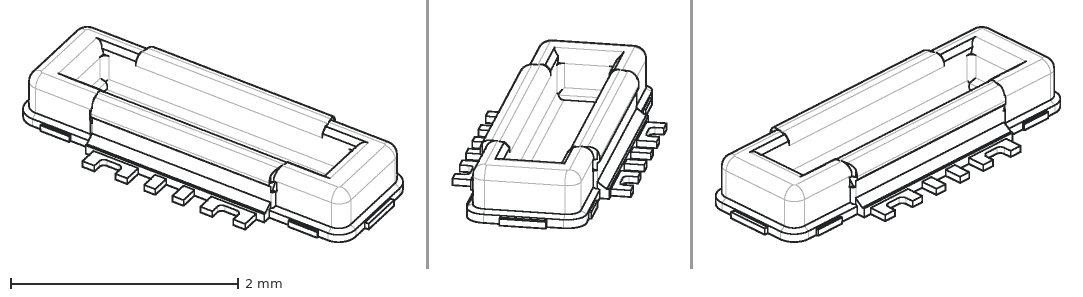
import cadquery as cq
import math

height = 0.49
tab_height = 0.065

flange_half_length = 1.725
flange_half_width = 0.535
flange_corner_radius = 0.175
flange_edge_height = 0.08
flange_top_height = 0.113

housing_half_length = 1.673
housing_half_width = 0.485
flange_ledge = flange_half_length - housing_half_length
housing_corner_radius = flange_corner_radius - flange_ledge
top_round = 0.105
round_bottom = height - top_round

middle_half_length = 0.935
middle_half_width = 0.515
lip_half_width = 0.535
lip_bottom = 0.35
lip_chamfer = lip_half_width - middle_half_width
skirt_half_width = 0.62
skirt_height = 0.092
skirt_slope_end = 0.6
skirt_slope_top = 0.155
wall_blend_radius = middle_half_width - housing_half_width
blend_half_length = middle_half_length + wall_blend_radius
top_blend_radius = 0.353

notch_outer_x = 0.978
notch_bottom = 0.27
notch_top = 0.367
notch_apex_height = 0.345
notch_depth = 0.055

cavity_half_length = 1.315
cavity_half_width = 0.26
cavity_corner_radius = 0.055
floor_height = 0.067
floor_side_round = 0.065
floor_end_round = 0.075
floor_end_arc = math.radians(55)
floor_end_slope_length = 0.042
rim_end_round = 0.105
rim_side_chamfer = 0.05
contact_half_length = 0.978
contact_rim_round = 0.095

end_tab_half_length = 1.765
end_tab_half_width = 0.21
side_tab_center = 1.3
side_tab_length = 0.305
side_tab_half_width = 0.558

lead_span = 1.6
lead_half_span = lead_span / 2
narrow_lead_center = 0.15
narrow_lead_width = 0.115
forked_lead_center = 0.618
forked_lead_width = 0.47
fork_notch_width = 0.22
fork_notch_depth = 0.127
fork_notch_radius = 0.045


def centered_box(half_x, half_y, z_top):
    """Box centred in X and Y that rises from the base plane to z_top."""
    return cq.Workplane("XY").box(2 * half_x, 2 * half_y, z_top, centered=(True, True, False))


def make_flange():
    flange = centered_box(flange_half_length, flange_half_width, flange_top_height)
    flange = flange.edges("|Z").fillet(flange_corner_radius)
    slope_height = flange_top_height - flange_edge_height
    return flange.faces(">Z").chamfer(slope_height, flange_ledge)


def make_housing():
    housing = centered_box(housing_half_length, housing_half_width, height)
    housing = housing.edges("|Z").fillet(housing_corner_radius)
    return housing.faces(">Z").edges().fillet(top_round)


def make_middle(half_length):
    """Rounded lip, plain wall and sloped skirt, the same on both long sides."""
    half = (
        cq.Workplane("YZ")
        .lineTo(skirt_half_width, 0)
        .lineTo(skirt_half_width, skirt_height)
        .lineTo(skirt_slope_end, skirt_height)
        .lineTo(middle_half_width, skirt_slope_top)
        .lineTo(middle_half_width, lip_bottom - lip_chamfer)
        .lineTo(lip_half_width, lip_bottom)
        .lineTo(lip_half_width, round_bottom)
        .radiusArc((lip_half_width - top_round, height), -top_round)
        .lineTo(0, height)
        .close()
        .extrude(half_length, both=True)
    )
    return half.union(half.mirror("XZ"))


def concave_end_plan(inner_half_width, outer_half_width, radius):
    """Plan whose width shrinks along concave arcs just past the ends of the middle section."""
    return (
        cq.Workplane("XY")
        .moveTo(-blend_half_length, -inner_half_width)
        .radiusArc((-middle_half_length, -outer_half_width), -radius)
        .lineTo(middle_half_length, -outer_half_width)
        .radiusArc((blend_half_length, -inner_half_width), -radius)
        .lineTo(blend_half_length, inner_half_width)
        .radiusArc((middle_half_length, outer_half_width), -radius)
        .lineTo(-middle_half_length, outer_half_width)
        .radiusArc((-blend_half_length, inner_half_width), -radius)
        .close()
        .extrude(height)
    )


def make_end_blends():
    """Concave transitions from the middle section into the housing walls and the top round."""
    wall_blend = concave_end_plan(housing_half_width, middle_half_width, wall_blend_radius)
    wall_blend = wall_blend.intersect(centered_box(blend_half_length, middle_half_width, notch_bottom))
    top_blend = concave_end_plan(
        housing_half_width - top_round, middle_half_width, top_blend_radius
    )
    above_notch = centered_box(blend_half_length, lip_half_width, height - notch_top)
    top_blend = top_blend.intersect(above_notch.translate((0, 0, notch_top)))
    return wall_blend.union(top_blend.intersect(make_middle(blend_half_length)))


def make_notches():
    """V-shaped notches cut into the housing walls next to the four ends of the lips."""
    outline = [
        (housing_half_width, notch_bottom),
        (housing_half_width, notch_top),
        (housing_half_width - notch_depth, notch_apex_height),
    ]
    notch = cq.Workplane("YZ").polyline(outline).close().extrude(notch_outer_x - middle_half_length)
    notch = notch.translate((middle_half_length, 0, 0))
    pair = notch.union(notch.mirror("XZ"))
    return pair.union(pair.mirror("YZ"))


def make_cavity():
    """Pocket common to a lengthwise and a crosswise profile, with rounded corners below the rim."""
    rim_half_length = cavity_half_length + rim_end_round
    rim_half_width = cavity_half_width + rim_side_chamfer
    rim_round_bottom = height - rim_end_round
    arc_rise = floor_end_round * math.sin(floor_end_arc)
    slope_outer_x = cavity_half_length - floor_end_round * (1 - math.cos(floor_end_arc))
    slope_inner_x = slope_outer_x - floor_end_slope_length
    slope_top = floor_height + floor_end_slope_length / math.tan(floor_end_arc)

    across = (
        cq.Workplane("YZ")
        .moveTo(0, floor_height)
        .lineTo(cavity_half_width - floor_side_round, floor_height)
        .radiusArc((cavity_half_width, floor_height + floor_side_round), -floor_side_round)
        .lineTo(cavity_half_width, height - rim_side_chamfer)
        .lineTo(rim_half_width, height)
        .lineTo(0, height)
        .close()
        .extrude(rim_half_length, both=True)
    )
    across = across.union(across.mirror("XZ"))

    along = (
        cq.Workplane("XZ")
        .moveTo(0, floor_height)
        .lineTo(slope_inner_x, floor_height)
        .lineTo(slope_outer_x, slope_top)
        .radiusArc((cavity_half_length, slope_top + arc_rise), -floor_end_round)
        .lineTo(cavity_half_length, rim_round_bottom)
        .radiusArc((rim_half_length, height), rim_end_round)
        .lineTo(0, height)
        .close()
        .extrude(rim_half_width, both=True)
    )
    along = along.union(along.mirror("YZ"))

    rounded_well = centered_box(cavity_half_length, cavity_half_width, rim_round_bottom)
    rounded_well = rounded_well.edges("|Z").fillet(cavity_corner_radius)
    rim_zone = centered_box(rim_half_length, rim_half_width, rim_end_round)
    rim_zone = rim_zone.translate((0, 0, rim_round_bottom))
    return across.intersect(along).intersect(rounded_well.union(rim_zone))


def make_contact_rim():
    """Wider round cut along the rim of the cavity where the contacts sit."""
    rim_half_width = cavity_half_width + contact_rim_round
    rim_bottom = height - contact_rim_round
    half = (
        cq.Workplane("YZ")
        .moveTo(0, rim_bottom)
        .lineTo(cavity_half_width, rim_bottom)
        .radiusArc((rim_half_width, height), contact_rim_round)
        .lineTo(0, height)
        .close()
        .extrude(contact_half_length, both=True)
    )
    return half.union(half.mirror("XZ"))


def make_base_tabs():
    """Thin tabs that stand out from the ends and the long sides of the flange."""
    tabs = centered_box(end_tab_half_length, end_tab_half_width, tab_height)
    for x in (-side_tab_center, side_tab_center):
        side_tab = centered_box(side_tab_length / 2, side_tab_half_width, tab_height)
        tabs = tabs.union(side_tab.translate((x, 0, 0)))
    return tabs


def make_forked_lead():
    """Bar across the part with a round-cornered notch in each outer end."""
    lead = centered_box(forked_lead_width / 2, lead_half_span, tab_height)
    notch = centered_box(fork_notch_width / 2, fork_notch_depth, tab_height)
    notch = notch.edges("|Z").fillet(fork_notch_radius)
    for y in (-lead_half_span, lead_half_span):
        lead = lead.cut(notch.translate((0, y, 0)))
    return lead


def make_leads():
    """Narrow and forked solder leads along both long sides."""
    narrow = centered_box(narrow_lead_width / 2, lead_half_span, tab_height)
    forked = make_forked_lead()
    leads = narrow.translate((narrow_lead_center, 0, 0))
    leads = leads.union(forked.translate((forked_lead_center, 0, 0)))
    return leads.union(leads.mirror("YZ"))


body = make_housing().union(make_flange())
body = body.union(make_middle(middle_half_length)).union(make_end_blends())
body = body.union(make_base_tabs()).union(make_leads())
result = body.cut(make_notches()).cut(make_cavity()).cut(make_contact_rim())